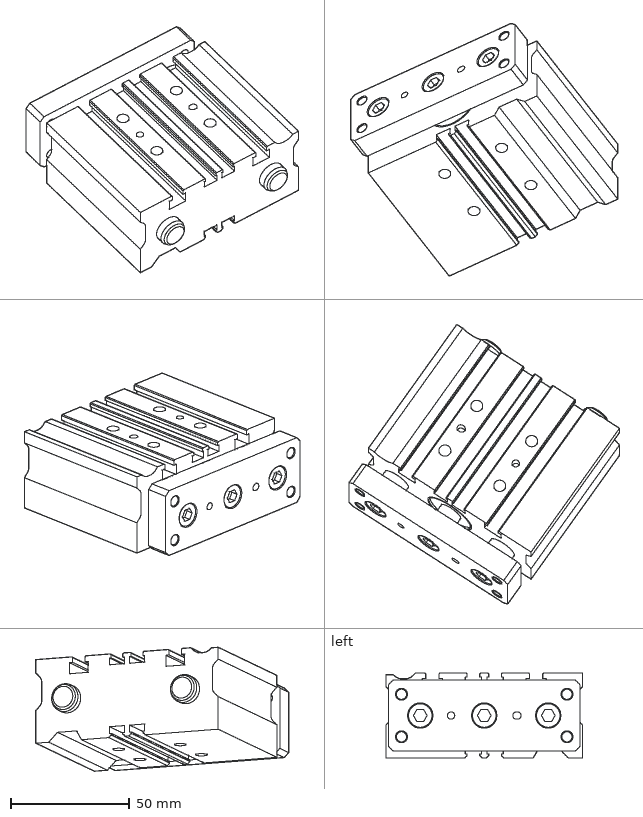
import cadquery as cq
import math


plate_thickness = 10.1
housing_front = 16.1
housing_length = 66.6
total_length = 88.0

housing_width = 83.0
housing_height = 36.0
half_width = housing_width / 2
half_height = housing_height / 2
bank_angle = 45
edge_bevel = 0.4
lower_edge_bevel = 1.1

wide_slot_y = 21.9
wide_slot_opening = 5.5
wide_slot_inner = 8.45
wide_slot_lip = 2.5
wide_slot_depth = 7.2
narrow_slot_y = 4.6
narrow_slot_opening = 5.3
narrow_slot_inner = 6.7
narrow_slot_lip = 1.8
narrow_slot_depth = 4.7

trough_y = 34.1
trough_floor_width = 1.1
trough_depth = 2.5
trough_radius = 5.0
land_drop = 0.7

side_groove_top = 12.1
side_groove_bottom = -4.0
side_groove_bevel = 1.8
side_groove_radius = 3.0

under_groove_inner_y = -20.7
under_groove_outer_y = -35.55
under_groove_depth = 4.0
under_groove_inner_slope = 60
under_groove_outer_slope = 45

mount_x = 45.1
mount_spacing = 24.0
mount_y = 14.0
mount_hole_diameter = 5.0
pin_hole_diameter = 3.1
pin_slot_length = 3.5
pin_slot_y = 13.8
pin_hole_depth = 4.4

plate_width = 81.0
plate_height = 30.0
plate_chamfer = 2.0
tapped_hole_y = 34.9
tapped_hole_z = 9.0
tapped_hole_diameter = 4.3
tapped_hole_chamfer = 0.35

rod_y = 27.0
guide_rod_diameter = 12.0
piston_rod_diameter = 10.0
bolt_head_diameter = 9.9
bolt_head_recess = 0.4
bolt_shank_diameter = 6.0
counterbore_diameter = 10.65
counterbore_depth = 6.3
socket_across_flats = 5.0
socket_depth = 3.0
nose_bevel_length = 1.4
nose_bevel_drop = 0.6
tip_bevel_length = 0.7
tip_bevel_drop = 0.9

cover_diameter = 22.35
cover_thickness = 8.8
cover_recess_diameter = 21.1
cover_recess_depth = 0.9


def cylinder_x(diameter, start, length, y=0, z=0):
    """Cylinder parallel to X."""
    return cq.Workplane("YZ", origin=(start, y, z)).circle(diameter / 2).extrude(length)


def mouth_chamfer(diameter, size, start, y=0, z=0):
    """Cutter for a 45 degree chamfer at the mouth of a hole parallel to X."""
    radius = diameter / 2
    cone = cq.Solid.makeCone(radius + size, radius, size, cq.Vector(start, y, z), cq.Vector(1, 0, 0))
    return cq.Workplane(cone)


def arc_offset(radius, angle):
    """Run along the floor and rise above it after turning by angle on an arc tangent to the floor."""
    turn = math.radians(angle)
    return radius * math.sin(turn), radius * (1 - math.cos(turn))


def housing_prism(sketch):
    """Run a closed YZ outline along the whole housing."""
    return sketch.close().extrude(housing_length)


def housing_section():
    """YZ plane at the front of the housing."""
    return cq.Workplane("YZ", origin=(housing_front, 0, 0))


def t_slot(centre_y, opening, inner, lip, depth, bevel):
    """T-slot cutter in the top face with bevelled mouth edges."""
    half_opening = opening / 2
    half_inner = inner / 2
    top = half_height
    right_side = [
        (half_opening + bevel, top),
        (half_opening, top - bevel),
        (half_opening, top - lip),
        (half_inner, top - lip),
        (half_inner, top - depth),
    ]
    left_side = [(-y, z) for y, z in reversed(right_side)]
    outline = [(centre_y + y, z) for y, z in right_side + left_side]
    return housing_prism(housing_section().polyline(outline))


def narrow_slot(centre_y, bevel):
    return t_slot(
        centre_y, narrow_slot_opening, narrow_slot_inner, narrow_slot_lip, narrow_slot_depth, bevel
    )


def wide_slot(centre_y):
    return t_slot(
        centre_y, wide_slot_opening, wide_slot_inner, wide_slot_lip, wide_slot_depth, edge_bevel
    )


def top_trough():
    """Groove whose floor curves up into 45 degree banks, with the lowered land outside it."""
    top = half_height
    floor_z = top - trough_depth
    floor_half = trough_floor_width / 2
    arc_y, arc_z = arc_offset(trough_radius, bank_angle)
    mid_y, mid_z = arc_offset(trough_radius, bank_angle / 2)
    bank_half = floor_half + arc_y
    bank_z = floor_z + arc_z
    land_z = top - land_drop
    return housing_prism(
        housing_section()
        .moveTo(trough_y - bank_half - (top - bank_z), top)
        .lineTo(trough_y - bank_half, bank_z)
        .threePointArc((trough_y - floor_half - mid_y, floor_z + mid_z), (trough_y - floor_half, floor_z))
        .lineTo(trough_y + floor_half, floor_z)
        .threePointArc((trough_y + floor_half + mid_y, floor_z + mid_z), (trough_y + bank_half, bank_z))
        .lineTo(trough_y + bank_half + (land_z - bank_z), land_z)
        .lineTo(half_width, land_z)
        .lineTo(half_width, top)
    )


def side_groove(side):
    """Groove in a side face (side is +1 or -1): 45 degree bevels blended into a flat floor."""
    centre_z = (side_groove_top + side_groove_bottom) / 2
    half_mouth = (side_groove_top - side_groove_bottom) / 2
    bevel_z = half_mouth - side_groove_bevel
    bevel_y = half_width - side_groove_bevel
    arc_run, arc_rise = arc_offset(side_groove_radius, bank_angle)
    mid_run, mid_rise = arc_offset(side_groove_radius, bank_angle / 2)
    arc_end_z = bevel_z - arc_run
    floor_y = bevel_y - arc_rise
    mid_z = arc_end_z + mid_run
    mid_y = floor_y + mid_rise

    def point(y, z):
        return side * y, centre_z + z

    return housing_prism(
        housing_section()
        .moveTo(*point(half_width, half_mouth))
        .lineTo(*point(bevel_y, bevel_z))
        .threePointArc(point(mid_y, mid_z), point(floor_y, arc_end_z))
        .lineTo(*point(floor_y, -arc_end_z))
        .threePointArc(point(mid_y, -mid_z), point(bevel_y, -bevel_z))
        .lineTo(*point(half_width, -half_mouth))
    )


def under_groove():
    """Groove in the underside that narrows upwards between two unequal slopes."""
    inner_run = under_groove_depth / math.tan(math.radians(under_groove_inner_slope))
    outer_run = under_groove_depth / math.tan(math.radians(under_groove_outer_slope))
    floor_z = under_groove_depth - half_height
    outline = [
        (under_groove_inner_y, -half_height),
        (under_groove_inner_y - inner_run, floor_z),
        (under_groove_outer_y + outer_run, floor_z),
        (under_groove_outer_y, -half_height),
    ]
    return housing_prism(housing_section().polyline(outline))


def make_housing():
    housing = cq.Workplane("XY").box(housing_length, housing_width, housing_height)
    housing = housing.translate((housing_front + housing_length / 2, 0, 0))

    for side in (-1, 1):
        housing = housing.cut(wide_slot(side * wide_slot_y))
        housing = housing.cut(narrow_slot(side * narrow_slot_y, edge_bevel))
        lower_slot = narrow_slot(side * narrow_slot_y, lower_edge_bevel).mirror("XY")
        housing = housing.cut(lower_slot)
        housing = housing.cut(side_groove(side))
    housing = housing.cut(top_trough()).cut(under_groove())

    for y in (-mount_y, mount_y):
        mount_plane = cq.Workplane("XY", origin=(mount_x, y, half_height))
        mount_holes = mount_plane.rarray(mount_spacing, 0.9, 2, 1).circle(mount_hole_diameter / 2)
        housing = housing.cut(mount_holes.extrude(-housing_height))
    pin_plane = cq.Workplane("XY", origin=(mount_x, 0, half_height))
    pin_hole = pin_plane.center(0, -mount_y).circle(pin_hole_diameter / 2).extrude(-pin_hole_depth)
    pin_slot = pin_plane.center(0, pin_slot_y).slot2D(pin_slot_length, pin_hole_diameter, 90)
    housing = housing.cut(pin_hole).cut(pin_slot.extrude(-pin_hole_depth))

    for y in (-rod_y, rod_y):
        housing = housing.cut(cylinder_x(guide_rod_diameter, housing_front, housing_length, y))
    return housing.cut(cylinder_x(cover_diameter, housing_front, cover_thickness))


def make_cover():
    """Disc flush with the housing front, with a shallow recess around the piston rod."""
    cover = cylinder_x(cover_diameter, housing_front, cover_thickness)
    cover = cover.cut(cylinder_x(cover_recess_diameter, housing_front, cover_recess_depth))
    return cover.cut(cylinder_x(piston_rod_diameter, housing_front, cover_thickness))


def make_plate():
    plate = (
        cq.Workplane("YZ")
        .rect(plate_width, plate_height)
        .extrude(plate_thickness)
        .edges("|X")
        .chamfer(plate_chamfer)
    )

    for y in (-rod_y, 0, rod_y):
        plate = plate.cut(cylinder_x(counterbore_diameter, 0, counterbore_depth, y))
        plate = plate.cut(cylinder_x(bolt_shank_diameter, 0, plate_thickness, y))

    for y in (-tapped_hole_y, tapped_hole_y):
        for z in (-tapped_hole_z, tapped_hole_z):
            plate = plate.cut(cylinder_x(tapped_hole_diameter, 0, plate_thickness, y, z))
            plate = plate.cut(mouth_chamfer(tapped_hole_diameter, tapped_hole_chamfer, 0, y, z))

    plate = plate.cut(cylinder_x(pin_hole_diameter, 0, plate_thickness, mount_y))
    pin_slot = cq.Workplane("YZ").center(-pin_slot_y, 0).slot2D(pin_slot_length, pin_hole_diameter)
    return plate.cut(pin_slot.extrude(plate_thickness))


def bolt_end(y):
    """Socket head and shank seated in the plate's stepped hole, the head just below the plate face."""
    head_length = counterbore_depth - bolt_head_recess
    head = cylinder_x(bolt_head_diameter, bolt_head_recess, head_length, y)
    hexagon_diameter = socket_across_flats / math.cos(math.pi / 6)
    socket = (
        cq.Workplane("YZ", origin=(bolt_head_recess, y, 0))
        .polygon(6, hexagon_diameter)
        .extrude(socket_depth)
    )
    shank_length = plate_thickness - counterbore_depth
    return head.cut(socket).union(cylinder_x(bolt_shank_diameter, counterbore_depth, shank_length, y))


def make_guide_rod(y):
    """Guide rod with a bolt end at the plate and a double-bevelled nose."""
    radius = guide_rod_diameter / 2
    tip_start = total_length - tip_bevel_length
    nose_start = tip_start - nose_bevel_length
    profile = [
        (plate_thickness, 0),
        (plate_thickness, radius),
        (nose_start, radius),
        (tip_start, radius - nose_bevel_drop),
        (total_length, radius - nose_bevel_drop - tip_bevel_drop),
        (total_length, 0),
    ]
    rod = cq.Workplane("XZ").polyline(profile).close().revolve(360, (0, 0, 0), (1, 0, 0))
    return rod.translate((0, y, 0)).union(bolt_end(y))


def make_piston_rod():
    """Piston rod from the plate to the inner face of the cover."""
    rod_length = housing_front + cover_thickness - plate_thickness
    return cylinder_x(piston_rod_diameter, plate_thickness, rod_length).union(bolt_end(0))


housing = make_housing()
cover = make_cover()
plate = make_plate()
piston_rod = make_piston_rod()
guide_rods = [make_guide_rod(y) for y in (-rod_y, rod_y)]

result = cq.Compound.makeCompound(
    [housing.val(), cover.val(), plate.val(), piston_rod.val(), *[rod.val() for rod in guide_rods]]
)